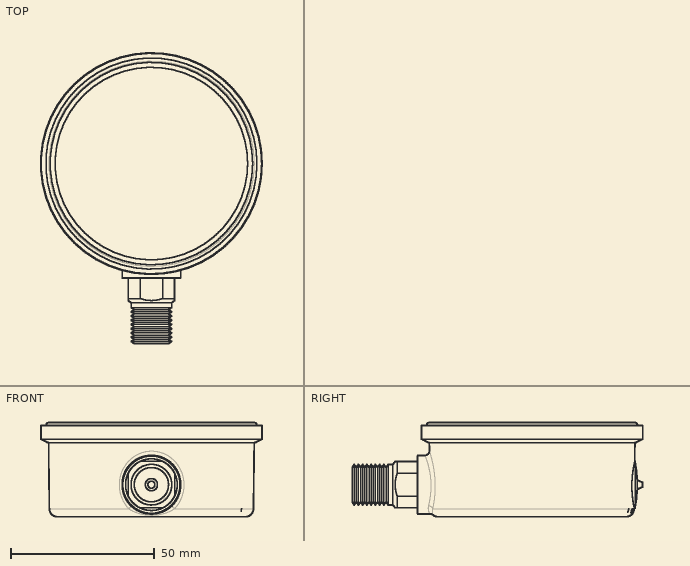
import cadquery as cq
import math

case_height = 33.0
case_radius_front = 35.9
case_radius_back = 35.6
back_round = 2.9

bezel_radius = 38.7
bezel_edge_chamfer = 0.2
bezel_top = 32.0
bezel_side_bottom = 27.2
bezel_underside = 26.0
bezel_underside_radius = 36.3
lip_radius = 36.8
lip_inner_radius = 35.3
dial_radius = 33.6
dial_depth = 1.4

stem_height = 11.3

boss_radius = 10.3
boss_end = -40.1
boss_edge_chamfer = 0.25
boss_root_fillet = 1.5

plug_radius = 8.2
plug_rim = 35.9
plug_dome_height = 0.8
nub_base_radius = 1.6
nub_tip_radius = 0.8
nub_end = 38.6

socket_radius = 9.0
socket_insertion = 5.1
socket_start = boss_end + socket_insertion
socket_end = -62.8
flat_width = 16.2
cone_start = -47.1
cone_end = -48.6
collar_end = -50.2
thread_radius = 7.1
thread_root_radius = 6.0
thread_count = 8
thread_pitch = (collar_end - socket_end) / (thread_count + 0.5)
bore_radius = 1.2
counterbore_radius = 2.1
counterbore_depth = 1.0


def stem_cylinder(radius, y_from, y_to):
    """Cylinder on the stem axis between two Y positions."""
    start = cq.Vector(0, y_from, stem_height)
    direction = cq.Vector(0, y_to - y_from, 0)
    return cq.Workplane(cq.Solid.makeCylinder(radius, direction.Length, start, direction))


def turn_about_stem(outline):
    """Revolve a (radius, Y) outline about the stem axis."""
    return outline.close().revolve(360, (0, 0, 0), (0, 1, 0)).translate((0, 0, stem_height))


def make_case_wall():
    """Tapered solid drum with a rounded back edge."""
    return (
        cq.Workplane("XZ")
        .lineTo(case_radius_back, 0)
        .lineTo(case_radius_front, bezel_underside)
        .lineTo(0, bezel_underside)
        .close()
        .revolve(360, (0, 0, 0), (0, 1, 0))
        .faces("<Z")
        .edges()
        .fillet(back_round)
    )


def make_boss():
    """Round boss reaching from the case axis, chamfered at its free end."""
    return stem_cylinder(boss_radius, 0, boss_end).faces("<Y").edges().chamfer(boss_edge_chamfer)


def make_bezel():
    """Ring with a rounded lip and a shallow conical recess down to the dial."""
    lip_round = case_height - bezel_top
    diagonal = lip_round * math.sqrt(0.5)
    lip_center_radius = lip_radius - lip_round
    dial_height = case_height - dial_depth
    return (
        cq.Workplane("XZ")
        .moveTo(0, bezel_underside)
        .lineTo(bezel_underside_radius, bezel_underside)
        .lineTo(bezel_radius, bezel_side_bottom)
        .lineTo(bezel_radius, bezel_top - bezel_edge_chamfer)
        .lineTo(bezel_radius - bezel_edge_chamfer, bezel_top)
        .lineTo(lip_radius, bezel_top)
        .threePointArc(
            (lip_center_radius + diagonal, bezel_top + diagonal),
            (lip_center_radius, case_height),
        )
        .lineTo(lip_inner_radius, case_height)
        .lineTo(dial_radius, dial_height)
        .lineTo(0, dial_height)
        .close()
        .revolve(360, (0, 0, 0), (0, 1, 0))
    )


def make_plug():
    """Low domed disc with a small tapered nub at its centre."""
    dome_top = plug_rim + plug_dome_height
    dome_radius = (plug_radius**2 + plug_dome_height**2) / (2 * plug_dome_height)
    mid_radius = plug_radius / 2
    mid_height = dome_top - dome_radius + math.sqrt(dome_radius**2 - mid_radius**2)
    disc = turn_about_stem(
        cq.Workplane("XY")
        .lineTo(plug_radius, 0)
        .lineTo(plug_radius, plug_rim)
        .threePointArc((mid_radius, mid_height), (0, dome_top))
    )
    nub = turn_about_stem(
        cq.Workplane("XY")
        .moveTo(0, plug_rim)
        .lineTo(nub_base_radius, plug_rim)
        .lineTo(nub_base_radius, dome_top)
        .lineTo(nub_tip_radius, nub_end)
        .lineTo(0, nub_end)
    )
    return disc.union(nub)


def round_boss_root(body):
    """Fillet the seam where the boss leaves the case wall."""
    clearance = 0.1
    half_width = boss_radius + clearance
    seam = cq.selectors.BoxSelector(
        (-half_width, -case_radius_front - clearance, clearance),
        (half_width, 0, stem_height + half_width),
        boundingbox=True,
    )
    return body.edges(seam).fillet(boss_root_fillet)


def make_housing():
    """Case with boss, bezel, dial and plug in one piece, bored for the socket."""
    housing = round_boss_root(make_case_wall().union(make_boss()))
    housing = housing.union(make_bezel()).union(make_plug())
    return housing.cut(stem_cylinder(socket_radius, socket_start, boss_end))


def make_wrench_section():
    """Round bar with four flats, its outer end turned to a cone."""
    blank = turn_about_stem(
        cq.Workplane("XY")
        .moveTo(0, boss_end)
        .lineTo(socket_radius, boss_end)
        .lineTo(socket_radius, cone_start)
        .lineTo(thread_radius, cone_end)
        .lineTo(0, cone_end)
    )
    bar_length = 2 * abs(socket_end)
    square_bar = cq.Workplane("XY").box(flat_width, bar_length, flat_width).translate((0, 0, stem_height))
    return blank.intersect(square_bar)


def make_thread():
    """Collar followed by ring-shaped thread ridges, ending on a root."""
    outline = (
        cq.Workplane("XY")
        .moveTo(0, cone_end)
        .lineTo(thread_radius, cone_end)
        .lineTo(thread_radius, collar_end)
    )
    for turn in range(thread_count):
        crest = collar_end - (turn + 1) * thread_pitch
        outline = outline.lineTo(thread_root_radius, crest + thread_pitch / 2).lineTo(thread_radius, crest)
    outline = outline.lineTo(thread_root_radius, socket_end).lineTo(0, socket_end)
    return turn_about_stem(outline)


def make_socket():
    """Shank, wrench section and thread with a counterbored through bore."""
    shank = stem_cylinder(socket_radius, socket_start, boss_end)
    socket = shank.union(make_wrench_section()).union(make_thread())
    bore = stem_cylinder(bore_radius, socket_end, socket_start)
    counterbore = stem_cylinder(counterbore_radius, socket_end, socket_end + counterbore_depth)
    return socket.cut(bore).cut(counterbore)


housing = make_housing()
socket = make_socket()
result = cq.Compound.makeCompound([housing.val(), socket.val()])